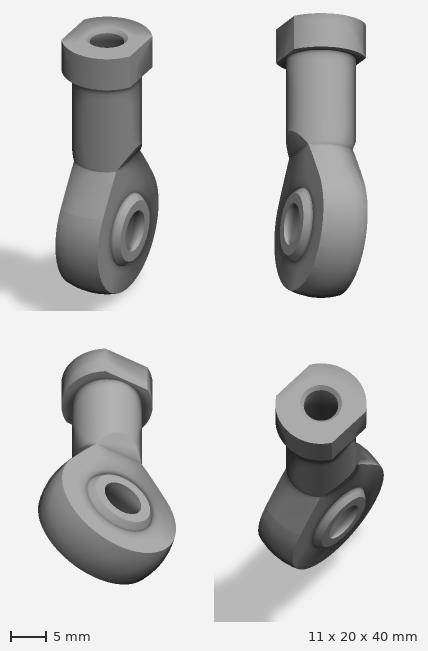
import cadquery as cq
import math

total_height = 40.0

eye_radius = 10.0
eye_width = 6.8
eye_center_z = eye_radius

shank_radius = 5.0
shank_bottom_z = 21.0
collar_radius = 6.5
collar_height = 5.0
collar_flats = 11.0
collar_bottom_z = total_height - collar_height
bevel_angle = 30.0

ball_width = 9.0
ball_face_radius = 4.5
ball_radius = math.hypot(ball_width / 2, ball_face_radius)
pin_hole_diameter = 6.0

bore_diameter = 4.92
bore_mouth_diameter = 6.0
bore_depth = 12.0
drill_tip_angle = 118.0


def make_eye_and_neck():
    """Sphere joined to the shank by a cone tangent to it, as one revolved profile."""
    rise = shank_bottom_z - eye_center_z
    distance = math.hypot(shank_radius, rise)
    tangent_angle = math.atan2(rise, shank_radius) - math.acos(eye_radius / distance)
    tangent_radius = eye_radius * math.cos(tangent_angle)
    tangent_z = eye_center_z + eye_radius * math.sin(tangent_angle)
    return (
        cq.Workplane("XZ")
        .threePointArc(
            (eye_radius * math.cos(math.pi / 4), eye_center_z - eye_radius * math.sin(math.pi / 4)),
            (tangent_radius, tangent_z),
        )
        .lineTo(shank_radius, shank_bottom_z)
        .lineTo(0, shank_bottom_z)
        .close()
        .revolve(360, (0, 0, 0), (0, 1, 0))
    )


def make_shank():
    return (
        cq.Workplane("XY")
        .workplane(offset=shank_bottom_z)
        .circle(shank_radius)
        .extrude(collar_bottom_z - shank_bottom_z)
    )


def make_side_envelope():
    """Eye width at the bottom, widening along the bevels to the full shank diameter."""
    half_width = eye_width / 2
    bevel_top_z = shank_bottom_z + (shank_radius - half_width) / math.tan(math.radians(bevel_angle))
    return (
        cq.Workplane("XZ")
        .moveTo(-half_width, 0)
        .lineTo(half_width, 0)
        .lineTo(half_width, shank_bottom_z)
        .lineTo(shank_radius, bevel_top_z)
        .lineTo(shank_radius, collar_bottom_z)
        .lineTo(-shank_radius, collar_bottom_z)
        .lineTo(-shank_radius, bevel_top_z)
        .lineTo(-half_width, shank_bottom_z)
        .close()
        .extrude(eye_radius, both=True)
    )


def make_collar():
    plane = cq.Workplane("XY").workplane(offset=collar_bottom_z)
    disc = plane.circle(collar_radius).extrude(collar_height)
    flats = plane.rect(collar_flats, 2 * collar_radius).extrude(collar_height)
    return disc.intersect(flats)


def make_ball():
    """Spherical zone between two flat faces, revolved about the pin axis."""
    half_width = ball_width / 2
    return (
        cq.Workplane("XY")
        .moveTo(-half_width, 0)
        .lineTo(-half_width, ball_face_radius)
        .threePointArc((0, ball_radius), (half_width, ball_face_radius))
        .lineTo(half_width, 0)
        .close()
        .revolve(360, (0, 0, 0), (1, 0, 0))
        .translate((0, 0, eye_center_z))
    )


def make_pin_hole():
    return (
        cq.Workplane("YZ")
        .center(0, eye_center_z)
        .circle(pin_hole_diameter / 2)
        .extrude(ball_width, both=True)
    )


def make_bore():
    """Blind bore with a 45 degree countersunk mouth and a conical drill tip."""
    bore_radius = bore_diameter / 2
    mouth_radius = bore_mouth_diameter / 2
    bore_end_z = total_height - bore_depth
    tip_length = bore_radius / math.tan(math.radians(drill_tip_angle / 2))
    return (
        cq.Workplane("XZ")
        .moveTo(0, total_height)
        .lineTo(mouth_radius, total_height)
        .lineTo(bore_radius, total_height - (mouth_radius - bore_radius))
        .lineTo(bore_radius, bore_end_z)
        .lineTo(0, bore_end_z - tip_length)
        .close()
        .revolve(360, (0, 0, 0), (0, 1, 0))
    )


body = make_eye_and_neck().union(make_shank()).intersect(make_side_envelope())
body = body.union(make_collar()).union(make_ball())
result = body.cut(make_pin_hole()).cut(make_bore())